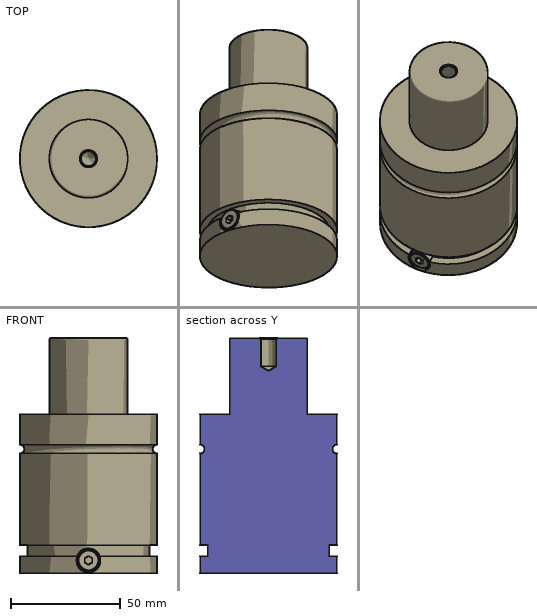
import cadquery as cq
import math

body_diameter = 63.0
body_height = 73.0
body_radius = body_diameter / 2

ring_groove_radius = 2.0
ring_groove_z = 57.0

clamp_groove_diameter = 56.0
clamp_groove_bottom = 8.0
clamp_groove_top = 13.0

rod_diameter = 36.0
rod_length = 35.0
rod_edge_radius = 1.0
rod_top = body_height + rod_length

tap_diameter = 6.8
tap_depth = 13.0
tap_mouth_diameter = 8.0
drill_point_angle = 118.0

plug_diameter = 10.0
pocket_diameter = 11.0
plug_z = 6.0
plug_face_y = -31.0
plug_inner_y = -25.0
plug_chamfer = 0.5
hex_across_corners = 4.0
hex_depth = 3.0
hex_sides = 6


def make_body():
    """Turned body with the half-round groove and the square groove."""
    groove_radius = clamp_groove_diameter / 2
    return (
        cq.Workplane("XZ")
        .lineTo(body_radius, 0)
        .lineTo(body_radius, clamp_groove_bottom)
        .lineTo(groove_radius, clamp_groove_bottom)
        .lineTo(groove_radius, clamp_groove_top)
        .lineTo(body_radius, clamp_groove_top)
        .lineTo(body_radius, ring_groove_z - ring_groove_radius)
        .threePointArc(
            (body_radius - ring_groove_radius, ring_groove_z),
            (body_radius, ring_groove_z + ring_groove_radius),
        )
        .lineTo(body_radius, body_height)
        .lineTo(0, body_height)
        .close()
        .revolve(360, (0, 0), (0, 1))
    )


def make_rod():
    """Piston rod with a rounded end edge."""
    return (
        cq.Workplane("XY")
        .workplane(offset=body_height)
        .circle(rod_diameter / 2)
        .extrude(rod_length)
        .faces(">Z")
        .fillet(rod_edge_radius)
    )


def make_tapped_hole():
    """Cutter for the countersunk blind hole with a conical drill point."""
    hole_radius = tap_diameter / 2
    mouth_radius = tap_mouth_diameter / 2
    mouth_depth = mouth_radius - hole_radius
    point_depth = hole_radius / math.tan(math.radians(drill_point_angle / 2))
    return (
        cq.Workplane("XZ")
        .moveTo(0, rod_top)
        .lineTo(mouth_radius, rod_top)
        .lineTo(hole_radius, rod_top - mouth_depth)
        .lineTo(hole_radius, rod_top - tap_depth)
        .lineTo(0, rod_top - tap_depth - point_depth)
        .close()
        .revolve(360, (0, 0), (0, 1))
    )


def plug_plane(y):
    """Workplane on the plug axis at the given Y, facing -Y."""
    return cq.Workplane("XZ", origin=(0, y, plug_z))


def make_plug_pocket():
    """Cutter for the round pocket that leaves a narrow gap around the plug."""
    pocket_depth = body_radius + plug_inner_y
    return plug_plane(plug_inner_y).circle(pocket_diameter / 2).extrude(pocket_depth)


def make_plug():
    """Filling plug with a chamfered face and a hexagon socket, one corner up."""
    plug = (
        plug_plane(plug_inner_y)
        .circle(plug_diameter / 2)
        .extrude(plug_inner_y - plug_face_y)
        .faces("<Y")
        .chamfer(plug_chamfer)
    )
    socket = (
        plug_plane(plug_face_y)
        .transformed(rotate=(0, 0, 90))
        .polygon(hex_sides, hex_across_corners)
        .extrude(-hex_depth)
    )
    return plug.cut(socket)


result = (
    make_body()
    .union(make_rod())
    .cut(make_tapped_hole())
    .cut(make_plug_pocket())
    .union(make_plug())
)